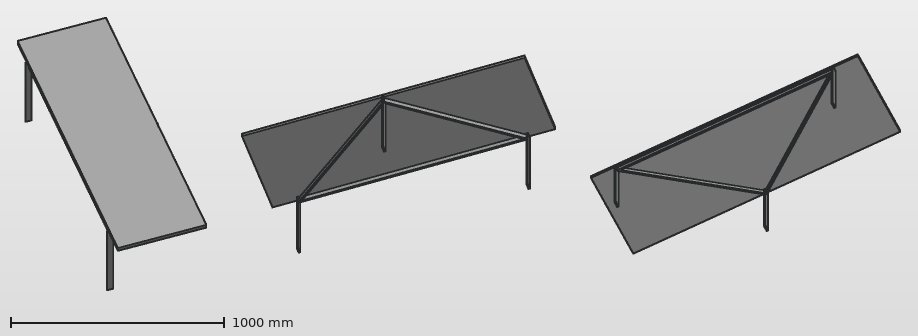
import cadquery as cq

total_height = 420
top_length = 1400
top_depth = 440
top_thickness = 20
apron_height = 30
apron_thickness = 8
leg_thickness = 8
leg_width = 30
leg_overhang = 8
leg_spacing = 1138

leg_height = total_height - top_thickness
leg_center_y = top_depth / 2 + leg_overhang - leg_width / 2

leg_centers = [
    (-leg_spacing / 2, -leg_center_y),
    (leg_spacing / 2, -leg_center_y),
    (0, leg_center_y),
]


def make_leg(center):
    """Flat upright leg, standing on the floor and reaching the underside of the top."""
    leg = cq.Workplane("XY").box(leg_thickness, leg_width, leg_height, centered=(True, True, False))
    return leg.translate((*center, 0))


def make_apron():
    """Triangular frame of upright rails between the legs, its back corner as wide as the back leg."""
    front_x = leg_spacing / 2 + leg_thickness / 2
    back_x = leg_thickness / 2
    outline = [
        (-front_x, -leg_center_y),
        (front_x, -leg_center_y),
        (back_x, leg_center_y),
        (-back_x, leg_center_y),
    ]
    apron_plane = cq.Plane((0, 0, leg_height - apron_height))
    block = cq.Workplane(apron_plane).polyline(outline).close().extrude(apron_height)
    opening = (
        cq.Workplane(apron_plane)
        .polyline(outline)
        .close()
        .offset2D(-apron_thickness)
        .extrude(apron_height)
    )
    return block.cut(opening)


def make_table_top(legs):
    """Table top with the apron under it, notched where the legs enter the apron."""
    slab = (
        cq.Workplane("XY", origin=(0, 0, leg_height))
        .box(top_length, top_depth, top_thickness, centered=(True, True, False))
    )
    table_top = slab.union(make_apron())
    for leg in legs:
        table_top = table_top.cut(leg)
    return table_top


legs = [make_leg(center) for center in leg_centers]
table_top = make_table_top(legs)

result = cq.Compound.makeCompound([table_top.val(), *[leg.val() for leg in legs]])